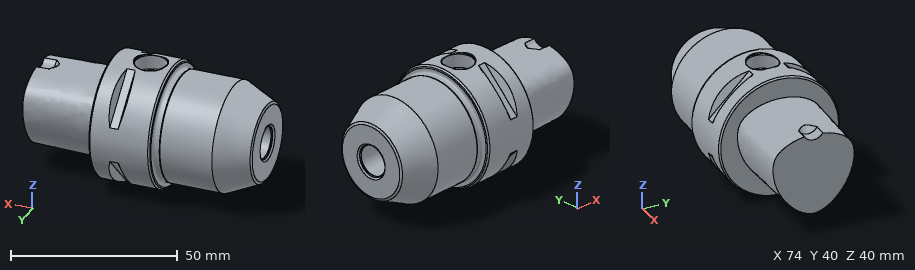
import cadquery as cq
import math

length = 74.0
nose_radius = 12.7
nose_chamfer_height = 0.8
nose_chamfer_length = 0.4
cone_end = 10.5
body_radius = 35.0 / 2
neck_radius = 34.8 / 2
edge_break = 0.3
body_end = 27.7
neck_fillet = 0.75

flange_start = 30.0
flange_end = 49.95
flange_radius = 40.0 / 2
flange_chamfer = 0.5
flange_lip_height = 0.45
flange_lip_length = 0.15

shank_radius_large = 14.0
shank_radius_small = 13.5
lobe_offset = 1.0
shank_points = 48

bore_radius = 10.0 / 2
bore_depth = 39.95
bore_entry_radius = 10.5 / 2
bore_chamfer = 0.5
bore_entry_depth = 0.75
bore_floor_rim_width = 0.6
bore_floor_rim_depth = 0.15

screw_hole_x = 37.9
screw_hole_radius = 10.0 / 2
screw_hole_rim_radius = 10.5 / 2
screw_rim_start_z = 19.3
screw_face_chamfer = 0.3
screw_face_z = 14.5
dimple_radius = 4.0 / 2
dimple_depth = 1.1

slot_x = 41.95
slot_floor_width = 2.7
slot_floor_distance = 17.6
slot_wall_slope = 28.0
slot_count = 4

groove_radius = 3.55
groove_axis_z = 14.1
groove_start = 69.85


def make_turned_body():
    cone_slope_start = (nose_chamfer_length, nose_radius)
    lip_radius = flange_radius - flange_chamfer
    return (
        cq.Workplane("XY")
        .moveTo(0, 0)
        .lineTo(0, nose_radius - nose_chamfer_height)
        .lineTo(*cone_slope_start)
        .lineTo(cone_end, neck_radius)
        .lineTo(cone_end + edge_break, body_radius)
        .lineTo(body_end, body_radius)
        .lineTo(body_end + edge_break, neck_radius)
        .lineTo(flange_start - neck_fillet, neck_radius)
        .radiusArc((flange_start, neck_radius + neck_fillet), -neck_fillet)
        .lineTo(flange_start, lip_radius - flange_lip_height)
        .lineTo(flange_start + flange_lip_length, lip_radius)
        .lineTo(flange_start + flange_lip_length + flange_chamfer, flange_radius)
        .lineTo(flange_end - flange_chamfer, flange_radius)
        .lineTo(flange_end, flange_radius - flange_chamfer)
        .lineTo(flange_end, 0)
        .close()
        .revolve(360, (0, 0, 0), (1, 0, 0))
    )


def lobe_point(mean_radius, angle):
    """Point (y, z) on a constant-width three-lobed curve with a flat side toward +Z."""
    z = (
        mean_radius * math.cos(angle)
        - 2 * lobe_offset * math.cos(2 * angle)
        + lobe_offset * math.cos(4 * angle)
    )
    y = (
        mean_radius * math.sin(angle)
        + 2 * lobe_offset * math.sin(2 * angle)
        + lobe_offset * math.sin(4 * angle)
    )
    return y, z


def lobe_outline(mean_radius):
    step = 2 * math.pi / shank_points
    return [lobe_point(mean_radius, i * step) for i in range(shank_points)]


def make_shank():
    return (
        cq.Workplane("YZ", origin=(flange_end, 0, 0))
        .spline(lobe_outline(shank_radius_large), periodic=True)
        .close()
        .workplane(offset=length - flange_end)
        .spline(lobe_outline(shank_radius_small), periodic=True)
        .close()
        .loft(ruled=True)
    )


def make_bore():
    """Blind bore with a chamfered, slightly wider entry and a shallow cone around its floor."""
    entry_step = bore_entry_radius - bore_radius
    return (
        cq.Workplane("XY")
        .moveTo(0, 0)
        .lineTo(0, bore_entry_radius + bore_chamfer)
        .lineTo(bore_chamfer, bore_entry_radius)
        .lineTo(bore_entry_depth, bore_entry_radius)
        .lineTo(bore_entry_depth + entry_step, bore_radius)
        .lineTo(bore_depth - bore_floor_rim_depth, bore_radius)
        .lineTo(bore_depth, bore_radius - bore_floor_rim_width)
        .lineTo(bore_depth, 0)
        .close()
        .revolve(360, (0, 0, 0), (1, 0, 0))
    )


def make_screw_hole():
    """Radial hole with a widened rim, ending on a chamfered screw face with a conical centre dimple."""
    face_radius = screw_hole_radius - screw_face_chamfer
    rim_height = screw_hole_rim_radius - screw_hole_radius
    return (
        cq.Workplane("XZ", origin=(screw_hole_x, 0, 0))
        .moveTo(0, screw_face_z - dimple_depth)
        .lineTo(dimple_radius, screw_face_z)
        .lineTo(face_radius, screw_face_z)
        .lineTo(screw_hole_radius, screw_face_z + screw_face_chamfer)
        .lineTo(screw_hole_radius, screw_rim_start_z)
        .lineTo(screw_hole_rim_radius, screw_rim_start_z + rim_height)
        .lineTo(screw_hole_rim_radius, flange_radius)
        .lineTo(0, flange_radius)
        .close()
        .revolve(360, (0, 0, 0), (0, 1, 0))
    )


def make_gripper_slot(angle):
    """Straight chordal slot with sloped walls, turned about the axis by angle."""
    depth = flange_radius - slot_floor_distance
    half_floor = slot_floor_width / 2
    half_top = half_floor + depth * math.tan(math.radians(slot_wall_slope))
    return (
        cq.Workplane("XZ", origin=(slot_x, 0, 0))
        .moveTo(-half_floor, slot_floor_distance)
        .lineTo(half_floor, slot_floor_distance)
        .lineTo(half_top, flange_radius)
        .lineTo(-half_top, flange_radius)
        .close()
        .extrude(flange_radius, both=True)
        .rotate((0, 0, 0), (1, 0, 0), angle)
    )


def make_drive_groove():
    """Round-bottomed groove along the shank, closed by a 45 degree cone."""
    return (
        cq.Workplane("XZ")
        .moveTo(groove_start - groove_radius, groove_axis_z)
        .lineTo(groove_start, groove_axis_z + groove_radius)
        .lineTo(length, groove_axis_z + groove_radius)
        .lineTo(length, groove_axis_z)
        .close()
        .revolve(360, (0, groove_axis_z, 0), (1, groove_axis_z, 0))
    )


result = make_turned_body().union(make_shank())
result = result.cut(make_bore()).cut(make_screw_hole()).cut(make_drive_groove())
for index in range(slot_count):
    result = result.cut(make_gripper_slot((index + 0.5) * 360 / slot_count))